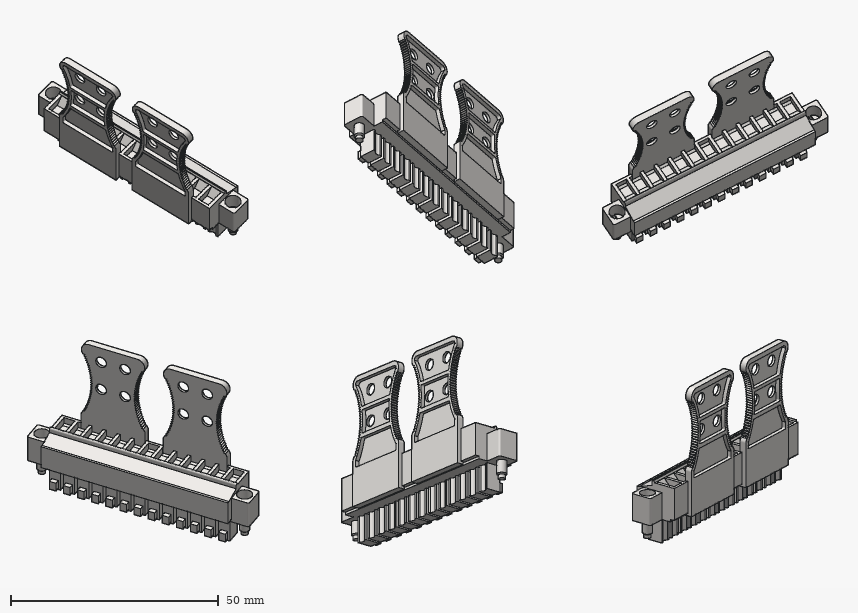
import cadquery as cq
import math


OVERALL_LENGTH = 59.9
OVERALL_DEPTH = 12.2
OVERALL_HEIGHT = 39.7

BLOCK_LENGTH = 50.45
BLOCK_FRONT = 1.1
BLOCK_BOTTOM = 6.65
BLOCK_TOP = 15.7
STEP_HEIGHT = 0.65
FRONT_STEP_DEPTH = 1.15
REAR_TOP = 13.55
REAR_FLAT_DEPTH = 0.6
RIDGE_REAR = 7.8
RIDGE_CREST = 7.25
RIDGE_FOOT = 6.95
RIDGE_BASE = 14.85
RIDGE_SHOULDER = 15.75
RIDGE_TOP = 16.25
RIDGE_ROUND_Y = 7.6
RIDGE_ROUND_Z = 16.1

FLANGE_FRONT = 4.75
FLANGE_REAR = 10.35
FLANGE_TOP = 13.7
FLANGE_CORNER_RADIUS = 0.5

TERMINAL_COUNT = 13
TERMINAL_SPAN = 45.7
PITCH = TERMINAL_SPAN / (TERMINAL_COUNT - 1)
POCKET_WIDTH = 2.95
POCKET_REAR = 6.9
POCKET_DEPTH = 1.9
POCKET_FLOOR_REAR = 5.1
POCKET_FLOOR_FRONT = 2.5
POCKET_LIP_RISE = 0.25

CONTACT_WIDTH = 3.0
CONTACT_FRONT = 5.45
CONTACT_REAR = 9.45
GROOVE_WIDTH = 1.8
GROOVE_DEPTH = 0.5
NUB_WIDTH = 1.8
NUB_BOTTOM = 0.35
NUB_TOP = 2.7
NUB_REAR = 10.7

SCREW_X = 27.4
SCREW_Y = (FLANGE_FRONT + FLANGE_REAR) / 2
HEAD_RADIUS = 1.9
HEAD_HEIGHT = 1.8
HEAD_CHAMFER = 0.2
SEAT_THICKNESS = 1.2
SEAT_Z = BLOCK_BOTTOM + SEAT_THICKNESS
SLOT_WIDTH = 0.65
SLOT_DEPTH = 0.7
SHANK_RADIUS = 1.25
SHANK_END = 3.35
TIP_RADIUS = 0.9
TIP_SHOULDER = 3.05
TIP_END = 2.1

TAB_X = 11.1
TAB_WIDTH = 17.3
TAB_THICKNESS = 1.8
TAB_CORNER_RADIUS = 2.05
TAB_SHOULDER_RADIUS = 0.95
WAIST_HALF_WIDTH = 6.05
WAIST_Z = 27.9
GRIP_RADIUS = 18.2
GRIP_CENTRE_X = WAIST_HALF_WIDTH + GRIP_RADIUS
TOOTH_COUNT = 28
TOOTH_ANGLE = 2.0
TOOTH_DEPTH = 0.35

TAB_RIM = 1.1
RECESS_DEPTH = 1.1
RECESS_CORNER = 0.3
TOP_RECESS_CORNER = 0.8
RECESS_BANDS = (
    (16.5, 23.5, RECESS_CORNER),
    (24.55, 30.55, RECESS_CORNER),
    (31.45, 38.45, TOP_RECESS_CORNER),
)

TAB_HOLE_RADIUS = 1.45
TAB_HOLE_SPACING = 6.5
TAB_HOLE_HEIGHTS = (27.45, 35.55)


def box(x_min, x_max, y_min, y_max, z_min, z_max):
    """Box between two opposite corners."""
    size = (x_max - x_min, y_max - y_min, z_max - z_min)
    return cq.Workplane("XY").box(*size, centered=False).translate((x_min, y_min, z_min))


def centred_box(x_centre, width, y_min, y_max, z_min, z_max):
    """Box of the given width centred on x_centre."""
    return box(x_centre - width / 2, x_centre + width / 2, y_min, y_max, z_min, z_max)


def terminal_positions():
    """X of each terminal."""
    return [i * PITCH - TERMINAL_SPAN / 2 for i in range(TERMINAL_COUNT)]


def housing_block():
    """Main block: one Y-Z profile swept along the row."""
    step_z = BLOCK_BOTTOM + STEP_HEIGHT
    front_step_y = BLOCK_FRONT + FRONT_STEP_DEPTH
    return (
        cq.Workplane("YZ")
        .moveTo(BLOCK_FRONT, step_z)
        .lineTo(front_step_y, step_z)
        .lineTo(front_step_y, BLOCK_BOTTOM)
        .lineTo(FLANGE_REAR, BLOCK_BOTTOM)
        .lineTo(FLANGE_REAR, step_z)
        .lineTo(OVERALL_DEPTH, step_z)
        .lineTo(OVERALL_DEPTH, REAR_TOP)
        .lineTo(OVERALL_DEPTH - REAR_FLAT_DEPTH, REAR_TOP)
        .lineTo(RIDGE_REAR, RIDGE_BASE)
        .lineTo(RIDGE_REAR, RIDGE_SHOULDER)
        .threePointArc((RIDGE_ROUND_Y, RIDGE_ROUND_Z), (RIDGE_CREST, RIDGE_TOP))
        .lineTo(RIDGE_FOOT, BLOCK_TOP)
        .lineTo(BLOCK_FRONT, BLOCK_TOP)
        .close()
        .extrude(BLOCK_LENGTH / 2, both=True)
    )


def flange_bar():
    """Bar through the block whose two ends are the screw flanges."""
    half = OVERALL_LENGTH / 2
    bar = box(-half, half, FLANGE_FRONT, FLANGE_REAR, BLOCK_BOTTOM, FLANGE_TOP)
    return bar.edges("|Z").fillet(FLANGE_CORNER_RADIUS)


def entry_pocket(x):
    """Wire-entry pocket with a sloping rear wall and a low lip at the front."""
    floor_z = BLOCK_TOP - POCKET_DEPTH
    return (
        cq.Workplane("YZ", origin=(x, 0, 0))
        .moveTo(POCKET_REAR, BLOCK_TOP)
        .lineTo(POCKET_FLOOR_REAR, floor_z)
        .lineTo(POCKET_FLOOR_FRONT, floor_z)
        .lineTo(TAB_THICKNESS, floor_z + POCKET_LIP_RISE)
        .lineTo(TAB_THICKNESS, BLOCK_TOP)
        .close()
        .extrude(POCKET_WIDTH / 2, both=True)
    )


def contact(x):
    """Contact post with a shallow round groove in front and a nub behind."""
    post = (
        cq.Workplane("XY", origin=(x, 0, 0))
        .moveTo(-CONTACT_WIDTH / 2, CONTACT_REAR)
        .lineTo(-CONTACT_WIDTH / 2, CONTACT_FRONT)
        .lineTo(-GROOVE_WIDTH / 2, CONTACT_FRONT)
        .threePointArc((0, CONTACT_FRONT + GROOVE_DEPTH), (GROOVE_WIDTH / 2, CONTACT_FRONT))
        .lineTo(CONTACT_WIDTH / 2, CONTACT_FRONT)
        .lineTo(CONTACT_WIDTH / 2, CONTACT_REAR)
        .close()
        .extrude(BLOCK_BOTTOM)
    )
    nub = centred_box(x, NUB_WIDTH, CONTACT_REAR, NUB_REAR, NUB_BOTTOM, NUB_TOP)
    return post.union(nub)


def tab_notch(x):
    """Opening in the front wall that receives a tab."""
    return centred_box(x, TAB_WIDTH, 0, TAB_THICKNESS, BLOCK_BOTTOM, RIDGE_TOP)


def screw_bore(x):
    """Stepped bore for a flange screw."""
    shank_bore = cq.Workplane("XY", origin=(x, SCREW_Y, 0)).circle(SHANK_RADIUS).extrude(SEAT_Z)
    head_bore = (
        cq.Workplane("XY", origin=(x, SCREW_Y, SEAT_Z)).circle(HEAD_RADIUS).extrude(FLANGE_TOP - SEAT_Z)
    )
    return shank_bore.union(head_bore)


def make_housing():
    body = housing_block().union(flange_bar())
    for x in terminal_positions():
        body = body.cut(entry_pocket(x)).union(contact(x))
    for side in (-1, 1):
        body = body.cut(tab_notch(side * TAB_X)).cut(screw_bore(side * SCREW_X))
    return body


def make_screw(x):
    """Slotted screw revolved about its own axis."""
    head_top = SEAT_Z + HEAD_HEIGHT
    screw = (
        cq.Workplane("XZ")
        .moveTo(0, TIP_END)
        .lineTo(TIP_RADIUS, TIP_END)
        .lineTo(TIP_RADIUS, TIP_SHOULDER)
        .lineTo(SHANK_RADIUS, SHANK_END)
        .lineTo(SHANK_RADIUS, SEAT_Z)
        .lineTo(HEAD_RADIUS, SEAT_Z)
        .lineTo(HEAD_RADIUS, head_top - HEAD_CHAMFER)
        .lineTo(HEAD_RADIUS - HEAD_CHAMFER, head_top)
        .lineTo(0, head_top)
        .close()
        .revolve(360, (0, 0, 0), (0, 1, 0))
    )
    slot = centred_box(0, SLOT_WIDTH, -HEAD_RADIUS, HEAD_RADIUS, head_top - SLOT_DEPTH, head_top)
    return screw.cut(slot).translate((x, SCREW_Y, 0))


def grip_point(angle, depth=0.0):
    """Point on the right grip arc, angle in degrees above the waist, sunk by depth."""
    radius = GRIP_RADIUS + depth
    turn = math.radians(angle)
    return (GRIP_CENTRE_X - radius * math.cos(turn), WAIST_Z + radius * math.sin(turn))


def tab_plate():
    """Waisted plate with serrated sides: the right half, then its mirror image."""
    half_width = TAB_WIDTH / 2
    low_angle = -math.degrees(math.acos((GRIP_CENTRE_X - half_width) / GRIP_RADIUS))
    last_tooth = TOOTH_COUNT * TOOTH_ANGLE / 2
    first_tooth = -last_tooth

    corner_z = OVERALL_HEIGHT - TAB_CORNER_RADIUS
    high_angle = math.degrees(math.asin((corner_z - WAIST_Z) / (GRIP_RADIUS + TAB_CORNER_RADIUS)))
    corner_x = grip_point(high_angle, TAB_CORNER_RADIUS)[0]
    corner_turn = math.radians((90 - high_angle) / 2)
    corner_mid = (
        corner_x + TAB_CORNER_RADIUS * math.cos(corner_turn),
        corner_z + TAB_CORNER_RADIUS * math.sin(corner_turn),
    )

    outline = (
        cq.Workplane("XZ")
        .moveTo(0, BLOCK_BOTTOM)
        .lineTo(half_width, BLOCK_BOTTOM)
        .lineTo(*grip_point(low_angle))
        .threePointArc(grip_point((low_angle + first_tooth) / 2), grip_point(first_tooth))
    )
    for tooth in range(TOOTH_COUNT):
        start = first_tooth + tooth * TOOTH_ANGLE
        outline = outline.lineTo(*grip_point(start + TOOTH_ANGLE / 2, TOOTH_DEPTH))
        outline = outline.lineTo(*grip_point(start + TOOTH_ANGLE))
    half_plate = (
        outline.threePointArc(grip_point((last_tooth + high_angle) / 2), grip_point(high_angle))
        .threePointArc(corner_mid, (corner_x, OVERALL_HEIGHT))
        .lineTo(0, OVERALL_HEIGHT)
        .close()
        .extrude(-TAB_THICKNESS)
    )
    shoulder_x, shoulder_z = grip_point(low_angle)
    shoulder = cq.selectors.NearestToPointSelector((shoulder_x, TAB_THICKNESS / 2, shoulder_z))
    half_plate = half_plate.edges("|Y").edges(shoulder).fillet(TAB_SHOULDER_RADIUS)
    return half_plate.mirror("YZ", union=True)


def tab_recess(bottom, top, top_corner):
    """Front recess between two heights whose sides follow the grip arcs."""
    recess = centred_box(0, TAB_WIDTH - 2 * TAB_RIM, 0, RECESS_DEPTH, bottom, top)
    for side in (-1, 1):
        rim = (
            cq.Workplane("XZ")
            .center(side * GRIP_CENTRE_X, WAIST_Z)
            .circle(GRIP_RADIUS + TAB_RIM)
            .extrude(-RECESS_DEPTH)
        )
        recess = recess.cut(rim)
    recess = recess.faces("<Z").edges("|Y").fillet(RECESS_CORNER)
    return recess.faces(">Z").edges("|Y").fillet(top_corner)


def make_tab(x):
    """Gripping tab with three front recesses and four through holes."""
    tab = tab_plate()
    for band in RECESS_BANDS:
        tab = tab.cut(tab_recess(*band))
    centres = [(side * TAB_HOLE_SPACING / 2, z) for side in (-1, 1) for z in TAB_HOLE_HEIGHTS]
    holes = cq.Workplane("XZ").pushPoints(centres).circle(TAB_HOLE_RADIUS).extrude(-TAB_THICKNESS)
    return tab.cut(holes).translate((x, 0, 0))


housing = make_housing()
screws = [make_screw(side * SCREW_X) for side in (-1, 1)]
tabs = [make_tab(side * TAB_X) for side in (-1, 1)]

result = cq.Compound.makeCompound(
    [body.solids().val() for body in (housing, *screws, *tabs)]
)